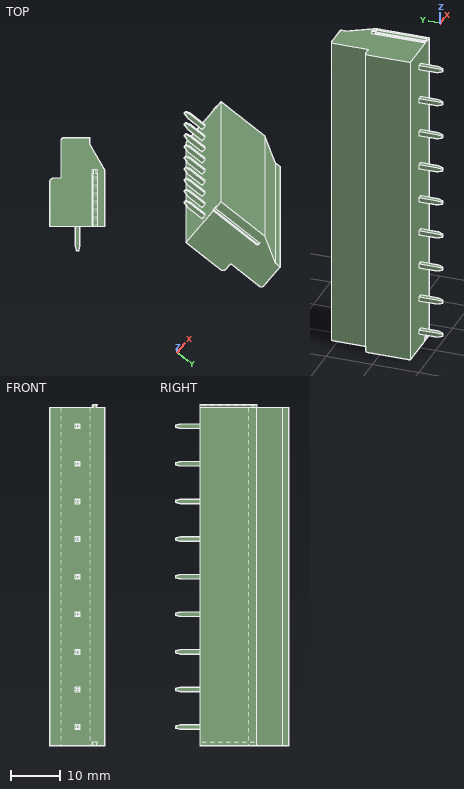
import cadquery as cq

width = 11.2
total_height = 69.2
rail_height = 0.55
body_height = total_height - rail_height
pin_length = 4.9
body_depth = 18.05

shoulder_x = 2.3
shoulder_y = 9.9
crest_x = 8.15
slope_top_y = 16.75
slope_bottom_y = 11.5
shoulder_radius = 0.8
crest_radius = 0.6

pin_count = 9
pin_pitch = body_height / pin_count
pin_x = 5.7
pin_size = 1.0
pin_tip_size = 0.5
pin_taper = 1.05

rail_x = 9.1
rail_top_width = 1.1
rail_root_width = 0.55
rail_bevel_width = 0.2
rail_bevel_drop = 0.15
rail_length = 10.8
nose_length = 0.8
nose_width = 0.5
groove_depth = 0.8
groove_length = rail_length + nose_length


def make_housing():
    """Profile extruded along Z, with both -X corners rounded."""
    return (
        cq.Workplane("XY")
        .polyline([
            (0, 0),
            (width, 0),
            (width, slope_bottom_y),
            (crest_x, slope_top_y),
            (crest_x, body_depth),
            (shoulder_x, body_depth),
            (shoulder_x, shoulder_y),
            (0, shoulder_y),
        ])
        .close()
        .extrude(body_height)
        .edges(cq.selectors.NearestToPointSelector((0, shoulder_y, body_height / 2)))
        .fillet(shoulder_radius)
        .edges(cq.selectors.NearestToPointSelector((shoulder_x, body_depth, body_height / 2)))
        .fillet(crest_radius)
    )


def make_dovetail(root_z, height, length):
    """Bar along +Y that widens upward from its root, beveled along its upper -X edge."""
    root = rail_root_width / 2
    top = rail_top_width / 2
    return (
        cq.Workplane("XZ", origin=(rail_x, 0, root_z))
        .polyline([
            (-root, 0),
            (root, 0),
            (top, height),
            (-top + rail_bevel_width, height),
            (-top, height - rail_bevel_drop),
        ])
        .close()
        .extrude(-length)
    )


def make_rail():
    """Dovetail rail with a narrow lead-in nose at its +Y end."""
    nose = (
        cq.Workplane("XY", origin=(rail_x, rail_length, body_height))
        .box(nose_width, nose_length, rail_height, centered=(True, False, False))
    )
    return make_dovetail(body_height, rail_height, rail_length).union(nose)


def make_pin(z):
    """Square pin pointing to -Y with a tapered tip."""
    shank_length = pin_length - pin_taper
    shank = (
        cq.Workplane("XZ", origin=(pin_x, 0, z))
        .rect(pin_size, pin_size)
        .extrude(shank_length)
    )
    tip = (
        cq.Workplane("XZ", origin=(pin_x, -shank_length, z))
        .rect(pin_size, pin_size)
        .workplane(offset=pin_taper)
        .rect(pin_tip_size, pin_tip_size)
        .loft()
    )
    return shank.union(tip)


result = make_housing()
result = result.union(make_rail())
result = result.cut(make_dovetail(0, groove_depth, groove_length))
for index in range(pin_count):
    result = result.union(make_pin((index + 0.5) * pin_pitch))